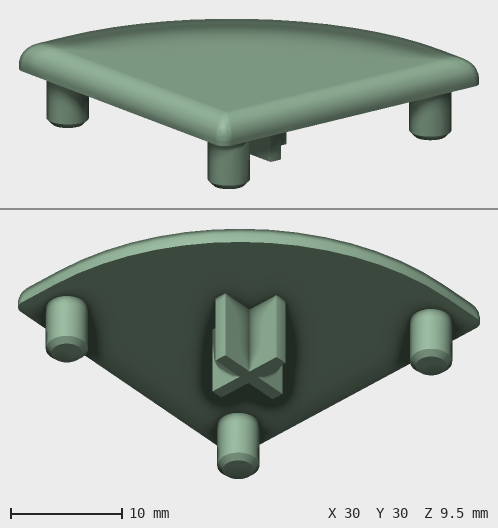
import cadquery as cq

side = 30.0
plate_thickness = 2.5
arc_radius = 25.0
straight_end = side - arc_radius
corner_radius = 1.0
top_edge_radius = 2.0
square_corners = [(0, 0), (side, 0), (side, side)]

pin_diameter = 3.8
pin_length = 5.0
pin_tip_chamfer = 0.5
pin_inset = 3.4
pin_far = side - pin_inset
pin_centers = [(pin_inset, pin_inset), (pin_far, pin_inset), (pin_far, pin_far)]

post_diameter = 7.75
post_arm_thickness = 1.2
post_length = 7.0
post_center = (side / 2, side / 2)


def make_plate():
    """Square plate with one corner swept into a large arc then its edges rounded.

    The top edge is rounded first, so each corner rounding runs up the mitre to the flat top.
    """
    plate = (
        cq.Workplane("XY")
        .lineTo(side, 0)
        .lineTo(side, side)
        .lineTo(arc_radius, side)
        .radiusArc((0, straight_end), -arc_radius)
        .close()
        .extrude(plate_thickness)
    )
    plate = plate.faces(">Z").edges().fillet(top_edge_radius)
    corner_height = (plate_thickness - top_edge_radius) / 2
    for corner in square_corners:
        nearest = cq.selectors.NearestToPointSelector((*corner, corner_height))
        plate = plate.edges(nearest).fillet(corner_radius)
    return plate


def make_pin(center):
    """Round pin with a chamfered tip, hanging from the plate."""
    return (
        cq.Workplane("XY")
        .center(*center)
        .circle(pin_diameter / 2)
        .extrude(-pin_length)
        .faces("<Z")
        .chamfer(pin_tip_chamfer)
    )


def make_post():
    """Post of two crossed ribs whose outer ends lie on a common cylinder."""
    base = cq.Workplane("XY").center(*post_center)
    rib_along_x = base.rect(post_diameter, post_arm_thickness).extrude(-post_length)
    rib_along_y = base.rect(post_arm_thickness, post_diameter).extrude(-post_length)
    envelope = base.circle(post_diameter / 2).extrude(-post_length)
    return rib_along_x.union(rib_along_y).intersect(envelope)


result = make_plate().union(make_post())
for pin_center in pin_centers:
    result = result.union(make_pin(pin_center))